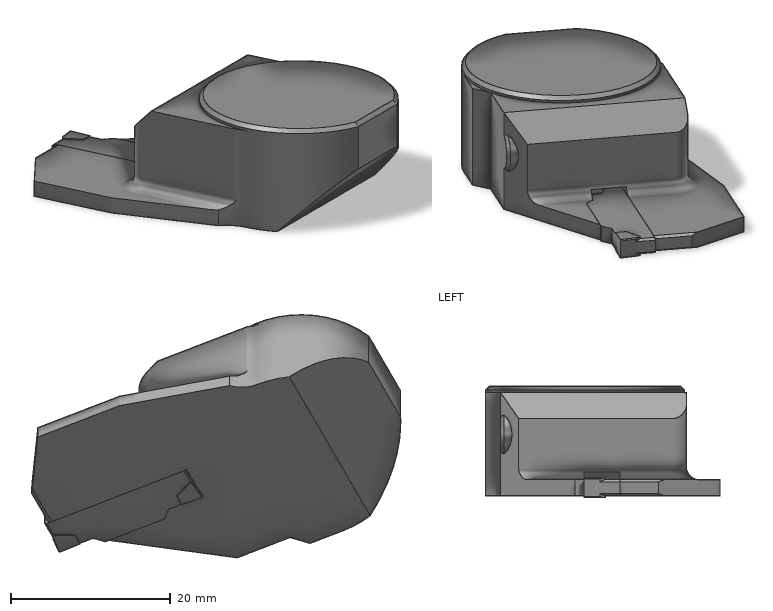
import cadquery as cq
import math


head_radius = 12.5
head_height = 13.8
head_chamfer = 0.5
head_flat_x = 11.6
relief_start_z = 7.6

plate_thickness = 2.05
plate_left_x = -33.05
plate_left_bottom_y = -9.25
plate_left_top_y = -2.7
plate_bottom_y = -16.95
plate_bottom_left_x = -28.55
plate_bottom_right_x = -17.2
neck_radius = 5.0
neck_start_x = -3.4
edge_chamfer_length = 0.45
edge_chamfer_height = 0.25

block_height = 12.95
block_left_x = -17.2
block_front_y = -12.75
block_back_y = 10.6
block_corner_radius = 1.8
block_foot_radius = 1.55
block_top_chamfer = 3.25
tab_left_x = -4.65

boss_radius = 2.75
boss_x = -13.2
boss_z = 7.7
boss_chamfer = 0.4
boss_length = 5.45

insert_middle_x = -23.7
insert_half_length = 10.0
insert_front_y = -4.4
insert_end_back_y = 0.15
insert_back_y = 1.25
shoulder_half_length = 4.13
end_setback = 0.2
end_bend_y = -1.9
end_chamfer_length = 0.3
end_chamfer_height = 0.25

tip_length = 2.95
tip_side_y = -1.3
tip_point_inset = 0.55
tip_point_y = -2.55
tip_rise_outer = 0.23
tip_rise_inner = 0.15
tip_edge_chamfer = 0.15

pocket_ceiling_z = 3.0


def edge_bevel(end_x, low_y, high_y, length, height):
    """Two wedges that bevel the upper and lower edges of an end face looking to -X."""
    lower = [(end_x, 0), (end_x + length, 0), (end_x, height)]
    upper = [(x, plate_thickness - z) for x, z in lower]
    wedges = cq.Workplane("XZ", origin=(0, high_y, 0)).polyline(lower).close().extrude(high_y - low_y)
    return wedges.union(
        cq.Workplane("XZ", origin=(0, high_y, 0)).polyline(upper).close().extrude(high_y - low_y)
    )


def make_head():
    head = cq.Workplane("XY").circle(head_radius).extrude(head_height)
    beyond_flat = cq.Workplane("XY").box(
        head_radius, 2 * head_radius, head_height, centered=(False, True, False)
    )
    head = head.cut(beyond_flat.translate((head_flat_x, 0, 0)))
    head = head.faces(">Z").chamfer(head_chamfer)
    relief = (
        cq.Workplane("XZ", origin=(0, head_radius, 0))
        .polyline([(head_flat_x - relief_start_z, 0), (head_flat_x, 0), (head_flat_x, relief_start_z)])
        .close()
        .extrude(2 * head_radius)
    )
    return head.cut(relief)


def make_outline():
    """Upright prism with the outer contour shared by the plate and the block."""
    arc_center_y = -head_radius - neck_radius
    neck_angle = math.asin(-neck_start_x / neck_radius)
    neck_start_y = arc_center_y + neck_radius * math.cos(neck_angle)
    arc_middle = (
        -neck_radius * math.sin(neck_angle / 2),
        arc_center_y + neck_radius * math.cos(neck_angle / 2),
    )
    tab_depth = head_radius - block_back_y
    return (
        cq.Workplane("XY")
        .moveTo(plate_left_x, plate_left_bottom_y)
        .lineTo(plate_bottom_left_x, plate_bottom_y)
        .lineTo(plate_bottom_right_x, plate_bottom_y)
        .lineTo(neck_start_x, neck_start_y)
        .threePointArc(arc_middle, (0, -head_radius))
        .lineTo(0, head_radius)
        .lineTo(tab_left_x, head_radius)
        .lineTo(tab_left_x - tab_depth, block_back_y)
        .lineTo(block_left_x + block_top_chamfer, block_back_y)
        .lineTo(plate_left_x, plate_left_top_y)
        .close()
        .extrude(block_height)
    )


def make_plate_and_block():
    plate = cq.Workplane("XY").box(
        -plate_left_x, head_radius - plate_bottom_y, plate_thickness, centered=False
    )
    plate = plate.translate((plate_left_x, plate_bottom_y, 0))
    block = cq.Workplane("XY").box(-block_left_x, head_radius - block_front_y, block_height, centered=False)
    block = block.translate((block_left_x, block_front_y, 0))
    block = block.edges("|Z and <X and <Y").fillet(block_corner_radius)
    body = plate.union(block)
    margin = 0.05
    foot_edges = cq.selectors.BoxSelector(
        (block_left_x - margin, block_front_y - margin, plate_thickness - margin),
        (margin, head_radius - margin, plate_thickness + margin),
    )
    body = body.edges(foot_edges).fillet(block_foot_radius)
    top_bevel = (
        cq.Workplane("XZ", origin=(0, head_radius, 0))
        .polyline([
            (block_left_x, block_height),
            (block_left_x + block_top_chamfer, block_height),
            (block_left_x, block_height - block_top_chamfer),
        ])
        .close()
        .extrude(head_radius - block_front_y)
    )
    body = body.cut(top_bevel).intersect(make_outline())
    return body.cut(edge_bevel(
        plate_left_x, plate_bottom_y, insert_front_y, edge_chamfer_length, edge_chamfer_height
    ))


def make_boss():
    boss = cq.Workplane("XZ", origin=(boss_x, block_back_y, boss_z)).circle(boss_radius).extrude(boss_length)
    return boss.faces(">Y").chamfer(boss_chamfer)


def make_insert_blank(height):
    shoulder_run = insert_back_y - insert_end_back_y
    half_outline = [
        (0, insert_front_y),
        (end_setback - insert_half_length, insert_front_y),
        (end_setback - insert_half_length, end_bend_y),
        (-insert_half_length, insert_end_back_y),
        (-shoulder_half_length - shoulder_run, insert_end_back_y),
        (-shoulder_half_length, insert_back_y),
    ]
    mirrored = [(-x, y) for x, y in reversed(half_outline[1:])]
    blank = cq.Workplane("XY").polyline(half_outline + mirrored).close().extrude(height)
    return blank.translate((insert_middle_x, 0, 0))


def make_left_tip():
    """Cutting corner, rising towards the end on the upper and lower face."""
    left_x = insert_middle_x - insert_half_length
    inner_x = left_x + tip_length
    footprint = [
        (left_x, insert_end_back_y),
        (inner_x, insert_end_back_y),
        (inner_x, tip_side_y),
        (left_x + tip_point_inset, tip_point_y),
        (left_x + end_setback, end_bend_y),
    ]
    side_profile = [
        (left_x, -tip_rise_outer),
        (inner_x, -tip_rise_inner),
        (inner_x, plate_thickness + tip_rise_inner),
        (left_x, plate_thickness + tip_rise_outer),
    ]
    column = (
        cq.Workplane("XY", origin=(0, 0, -tip_rise_outer))
        .polyline(footprint).close()
        .extrude(plate_thickness + 2 * tip_rise_outer)
    )
    wedge = (
        cq.Workplane("XZ", origin=(0, insert_end_back_y, 0))
        .polyline(side_profile).close()
        .extrude(insert_end_back_y - tip_point_y)
    )
    tip = column.intersect(wedge)
    return tip.faces("<X").edges("not |Z").chamfer(tip_edge_chamfer)


def mirror_on_insert(shape):
    return shape.mirror("YZ", basePointVector=(insert_middle_x, 0, 0))


def make_insert():
    end_x = insert_middle_x - insert_half_length + end_setback
    bevel = edge_bevel(end_x, insert_front_y, end_bend_y, end_chamfer_length, end_chamfer_height)
    insert = make_insert_blank(plate_thickness).cut(bevel).cut(mirror_on_insert(bevel))
    tip = make_left_tip()
    return insert.union(tip).union(mirror_on_insert(tip))


def make_pocket():
    """Seat of the insert, with headroom above it for the raised tips."""
    return make_insert_blank(pocket_ceiling_z)


def make_holder(insert):
    holder = make_plate_and_block().union(make_head()).union(make_boss())
    return holder.cut(make_pocket()).cut(insert)


insert = make_insert()
holder = make_holder(insert)
result = cq.Compound.makeCompound([holder.solids().val(), insert.solids().val()])